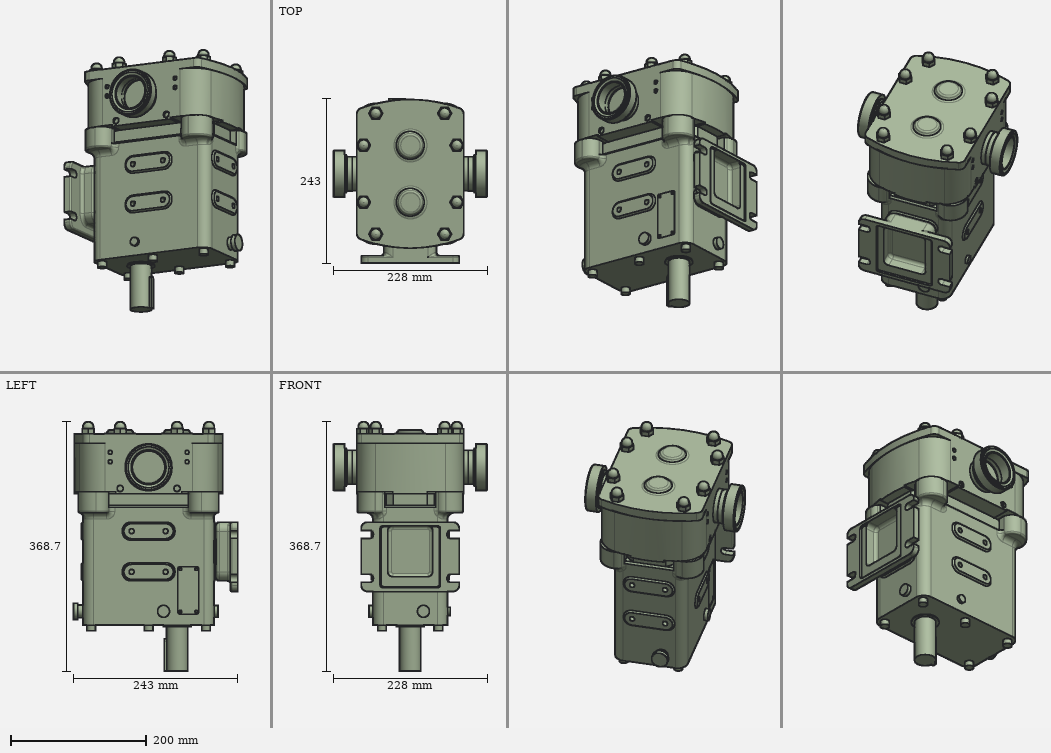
import cadquery as cq
import math


total_height = 368.7
shaft_length = 68.2
pump_top = total_height - shaft_length
shoulder_bottom = 173.5
shoulder_top = 176.5
head_bottom = 194.0
lug_top = 196.5
lug_bottom = 165.5
cover_bottom = 268.5
cover_top = 282.5

box_half_x = 55.3
box_half_y = 97.0
box_corner_radius = 15.5
shoulder_inset = shoulder_top - shoulder_bottom
neck_half_x = 35.5
neck_flat_half_x = 25.0
neck_corner_depth = 9.2
lug_half_x = 78.0
lug_half_y = 104.0
lug_inner_x = 37.5
lug_inner_y = 58.5
lug_outer_radius = 25.8
lug_side_radius = 19.0
lug_end_radius = 14.0
lug_bottom_round = 3.0
lug_root_radius = 9.0

pad_levels = (78.5, 138.5)
pad_half_length = 39.0
pad_radius = 13.45
pad_height = 2.5
pad_taper_angle = 45.0
pad_hole_half_pitch = 25.0
pad_hole_radius = 3.7
pad_hole_depth = 11.0

plug_level = 20.3
plug_radius = 9.0
plug_height = 6.0
small_plug_radius = 6.3
small_plug_height = 4.0
side_plug_y = -22.0
front_plug_x = 19.5
glass_stem_radius = 9.5
glass_stem_length = 7.5
glass_rim_radius = 12.0
glass_rim_length = 6.5
plate_width = 30.5
plate_height = 70.0
plate_center_y = -58.5
plate_center_z = 51.2
plate_thickness = 0.5
plate_corner_radius = 3.5
plate_screw_inset = 3.7
plate_screw_radius = 2.0
screw_x = 41.5
screw_y = 84.8
screw_radius = 6.5
screw_height = 8.5

shaft_y = -42.0
shaft_radius = 16.0
collar_radius = 20.5
collar_top_radius = 19.5
collar_height = 2.2
key_width = 7.0
key_rise = 3.5
key_top = -20.3

head_half_x = 79.3
head_half_y = 110.0
cover_arc_radius = 214.0
casing_arc_radius = 177.0
casing_corner_radius = 39.0
cover_corner_radius = 10.5
rim_half_x = 25.5
rim_half_y = 48.5
lobe_y = 42.0
dome_outer_radius = 24.5
dome_root_radius = 20.5
dome_shoulder_radius = 18.0
dome_flat_radius = 14.5
dome_root_height = 1.0
dome_shoulder_height = 4.0
dome_height = 6.0
nut_spots = ((51.0, 89.2), (69.0, lobe_y))
nut_flats = 17.7
nut_hex_height = 7.7
nut_cap_radius = 8.0
gauge_hole_y = 56.8
gauge_hole_levels = (241.0, 255.0)
gauge_hole_radius = 3.0
gauge_hole_depth = 3.7
drain_hole_level = 201.5
drain_hole_radius = 4.6

port_level = 233.0
port_half_span = 114.0
port_rim_length = 17.0
port_rim_radius = 34.5
port_rim_chamfer = 1.5
port_shoulder_length = 3.7
port_shoulder_radius = 28.5
port_neck_radius = 25.5
port_bore_radius = 24.0
port_joint_x = 86.0
port_seat_radius = 30.2
port_seat_inner_radius = 25.8
port_seat_depth = 2.0

foot_face_y = -132.0
foot_rear_y = -box_half_y - pad_height
flange_thickness = 11.0
flange_half_x = 72.5
flange_bottom = 49.5
flange_top = pad_levels[1] + pad_radius
flange_corner_radius = 9.5
flange_rear_round = 2.2
block_flare = 4.8
block_rear_round = 5.0
slot_levels = (69.0, 134.0)
slot_width = 11.5
slot_end_x = 54.2
recess_half_x = 44.5
recess_bottom = 55.0
recess_top = 146.7
recess_depth = 2.0
recess_corner_radius = 4.8
pocket_half_x = 33.0
pocket_bottom = 71.5
pocket_top = recess_top
pocket_corner_radius = 7.5
pocket_floor_thickness = 10.7
pocket_floor_radius = 5.0

middle_pad_level = sum(pad_levels) / 2

nearly_full = 0.99
touch = 0.005


def plane_on_side(normal, offset=0.0, level=0.0, standoff=0.0):
    """Upright work plane facing `normal`, its local Y along +Z, on the wall of the gearbox."""
    nx, ny = normal
    wall = (box_half_x if nx else box_half_y) + standoff
    origin = (nx * wall + abs(ny) * offset, ny * wall + abs(nx) * offset, level)
    return cq.Workplane(cq.Plane(origin=origin, xDir=(-ny, nx, 0), normal=(nx, ny, 0)))


def plane_facing_front(y, level):
    """Work plane facing -Y, with local X along +X and local Y along +Z."""
    return cq.Workplane(cq.Plane(origin=(0, y, level), xDir=(1, 0, 0), normal=(0, -1, 0)))


def gather(parts):
    """One Workplane holding the solids of all `parts`, to join or cut them together."""
    return cq.Workplane("XY").newObject([solid for part in parts for solid in part.vals()])


def to_quadrant(shape, sx, sy):
    """Mirror a shape from the +X +Y quadrant into the quadrant with signs `sx` and `sy`."""
    if sx < 0:
        shape = shape.mirror("YZ")
    if sy < 0:
        shape = shape.mirror("XZ")
    return shape


sides = ((1, 0), (-1, 0), (0, 1), (0, -1))
quadrants = [(sx, sy) for sx in (1, -1) for sy in (1, -1)]


def lug(sx, sy):
    """Lug under one corner of the pump head; each upright edge but the innermost is rounded."""
    roundings = (
        (lug_half_x, lug_half_y, lug_outer_radius),
        (lug_half_x, lug_inner_y, lug_side_radius),
        (lug_inner_x, lug_half_y, lug_end_radius),
    )
    block = (
        cq.Workplane("XY", origin=(lug_inner_x, lug_inner_y, lug_bottom))
        .box(lug_half_x - lug_inner_x, lug_half_y - lug_inner_y, lug_top - lug_bottom, centered=False)
    )
    for x, y, radius in roundings:
        block = block.edges(upright_edge_at(x, y)).fillet(radius)
    block = block.faces("<Z").edges().fillet(lug_bottom_round)
    return to_quadrant(block, sx, sy)


def upright_edge_at(x, y):
    return cq.selectors.BoxSelector((x - touch, y - touch, lug_bottom), (x + touch, y + touch, lug_top))


def gear_case():
    """Case up to the lug tops, with each lug blended into its walls."""
    case = (
        cq.Workplane("XY")
        .rect(2 * box_half_x, 2 * box_half_y)
        .extrude(lug_top)
        .edges("|Z").fillet(box_corner_radius)
    )
    case_walls = case.val().Shells()[0]
    lugs = [lug(sx, sy) for sx, sy in quadrants]
    case = case.union(gather(lugs))
    roots = [
        edge
        for edge in case.edges().vals()
        if is_lug_root(edge.positionAt(0.5), case_walls, [block.val() for block in lugs])
    ]
    return case.newObject(roots).fillet(lug_root_radius)


def is_lug_root(point, case_walls, lugs):
    """True where the point lies both on a case wall and on a lug, below the top face."""
    spot = cq.Vertex.makeVertex(point.x, point.y, point.z)
    on_lug = min(spot.distance(block) for block in lugs) < touch
    return on_lug and spot.distance(case_walls) < touch and point.z < lug_top - touch


def wall_relief(wall, half_width):
    """Cutter for one wall between two lugs: sloped shoulder, then the set-back neck above it."""
    reach = 2 * wall
    profile = [
        (wall - shoulder_inset, lug_top),
        (wall - shoulder_inset, shoulder_top),
        (wall, shoulder_bottom),
        (reach, shoulder_bottom),
        (reach, lug_top),
    ]
    return cq.Workplane("XZ").polyline(profile).close().extrude(half_width, both=True)


def neck_corner_relief():
    """Wedge that slants the neck beside a lug."""
    front = box_half_y - shoulder_inset
    corner = [
        (neck_flat_half_x, front),
        (neck_half_x, front - neck_corner_depth),
        (lug_inner_x, front - neck_corner_depth),
        (lug_inner_x, front),
    ]
    return (
        cq.Workplane("XY", origin=(0, 0, shoulder_top))
        .polyline(corner).close()
        .extrude(lug_top - shoulder_top)
    )


def neck_reliefs():
    """Everything removed from the top of the case between the lugs."""
    side = wall_relief(box_half_x, lug_inner_y)
    end = wall_relief(box_half_y, lug_inner_x).rotate((0, 0, 0), (0, 0, 1), 90)
    corner = neck_corner_relief()
    mirrored_corner = corner.mirror("YZ")
    cutters = [end, corner, mirrored_corner]
    cutters += [side, side.mirror("YZ")] + [cutter.mirror("XZ") for cutter in cutters]
    top_gap = lug_top - head_bottom
    top = cq.Workplane("XY", origin=(0, 0, head_bottom))
    cutters.append(top.rect(2 * lug_inner_x, 4 * box_half_y).extrude(top_gap))
    cutters.append(top.rect(4 * box_half_x, 2 * lug_inner_y).extrude(top_gap))
    return cutters


def side_pad(normal, level):
    pad = plane_on_side(normal, level=level).slot2D(2 * pad_half_length, 2 * pad_radius)
    return pad.extrude(pad_height, taper=pad_taper_angle)


def side_pad_holes(normal, level):
    spots = [(s * pad_hole_half_pitch, 0) for s in (1, -1)]
    return (
        plane_on_side(normal, level=level, standoff=pad_height)
        .pushPoints(spots)
        .circle(pad_hole_radius)
        .extrude(-pad_hole_depth)
    )


def side_disc(normal, offset, radius, height, standoff=0.0):
    return plane_on_side(normal, offset, plug_level, standoff).circle(radius).extrude(height)


def plugs():
    return [
        side_disc((-1, 0), side_plug_y, plug_radius, plug_height),
        side_disc((1, 0), side_plug_y, small_plug_radius, small_plug_height),
        side_disc((0, -1), front_plug_x, plug_radius, plug_height),
    ]


def sight_glass():
    stem = side_disc((0, 1), -front_plug_x, glass_stem_radius, glass_stem_length)
    rim = side_disc((0, 1), -front_plug_x, glass_rim_radius, glass_rim_length, glass_stem_length)
    return stem.union(rim)


def name_plate():
    plate = (
        plane_on_side((-1, 0), plate_center_y, plate_center_z)
        .rect(plate_width, plate_height)
        .extrude(plate_thickness)
        .edges("|X").fillet(plate_corner_radius)
    )
    return (
        plate.faces("<X").workplane()
        .rect(plate_width - 2 * plate_screw_inset, plate_height - 2 * plate_screw_inset, forConstruction=True)
        .vertices()
        .hole(2 * plate_screw_radius)
    )


def bottom_screws():
    spots = [(sx * screw_x, y) for sx in (1, -1) for y in (-screw_y, 0, screw_y)]
    return cq.Workplane("XY").pushPoints(spots).circle(screw_radius).extrude(-screw_height)


def drive_shaft():
    base = cq.Workplane("XY").center(0, shaft_y)
    shaft = base.circle(shaft_radius).extrude(-shaft_length)
    collar = (
        base.circle(collar_top_radius)
        .workplane(offset=-collar_height)
        .circle(collar_radius)
        .loft(ruled=True)
    )
    key_depth = shaft_radius + key_rise
    key = (
        cq.Workplane("XY")
        .box(key_width, key_depth, key_top + shaft_length, centered=(True, False, False))
        .edges("|Y and >Z").fillet(nearly_full * key_width / 2)
        .translate((0, shaft_y, -shaft_length))
    )
    return shaft.union(collar).union(key)


def gearbox():
    pad_spots = [(normal, level) for normal in sides for level in pad_levels]
    pads = [side_pad(normal, level) for normal, level in pad_spots]
    pad_holes = [side_pad_holes(normal, level) for normal, level in pad_spots]
    attachments = [*plugs(), sight_glass(), name_plate(), bottom_screws(), drive_shaft()]
    case = gear_case().cut(gather(neck_reliefs()))
    return case.union(gather(pads + attachments)).cut(gather(pad_holes))


def head_prism(bottom, top, arc_radius, corner_radius):
    """Prism with flat sides in X, shallow arcs in Y and rounded corners."""
    corner_y = head_half_y - arc_radius + math.sqrt(arc_radius**2 - head_half_x**2)
    return (
        cq.Workplane("XY", origin=(0, 0, bottom))
        .moveTo(head_half_x, -corner_y)
        .lineTo(head_half_x, corner_y)
        .threePointArc((0, head_half_y), (-head_half_x, corner_y))
        .lineTo(-head_half_x, -corner_y)
        .threePointArc((0, -head_half_y), (head_half_x, -corner_y))
        .close()
        .extrude(top - bottom)
        .edges("|Z").fillet(corner_radius)
    )


def lug_seats():
    """Shallow corner recesses that take the tops of the gearbox lugs."""
    seats = []
    for sx, sy in quadrants:
        seat = cq.Workplane("XY").box(head_half_x, head_half_y, lug_top - head_bottom, centered=False)
        seat = seat.translate((rim_half_x, rim_half_y, head_bottom))
        seats.append(to_quadrant(seat, sx, sy))
    return gather(seats)


def cover_dome(y):
    mid = math.sqrt(0.5)
    top_drop = dome_height - dome_shoulder_height
    top_run = dome_shoulder_radius - dome_flat_radius
    return (
        cq.Workplane("XZ")
        .lineTo(dome_outer_radius, 0)
        .lineTo(dome_root_radius, dome_root_height)
        .lineTo(dome_shoulder_radius, dome_shoulder_height)
        .threePointArc(
            (dome_flat_radius + top_run * mid, dome_shoulder_height + top_drop * mid),
            (dome_flat_radius, dome_height),
        )
        .lineTo(0, dome_height)
        .close()
        .revolve()
        .translate((0, y, cover_top))
    )


def cap_nut(x, y):
    base = cq.Workplane("XY", origin=(x, y, cover_top))
    hexagon = base.polygon(6, nut_flats / math.cos(math.pi / 6)).extrude(nut_hex_height)
    cap_height = pump_top - cover_top
    cap = base.circle(nut_cap_radius).extrude(cap_height)
    cap = cap.faces(">Z").edges().fillet(nearly_full * nut_cap_radius)
    return hexagon.union(cap)


def port_stub(sign):
    """Short closed stub on the side of the head that carries a fitting."""
    face = cq.Workplane("YZ", origin=(sign * head_half_x, 0, port_level))
    return face.circle(port_neck_radius).extrude(sign * (port_joint_x - head_half_x))


def head_side_holes(sign):
    face = cq.Workplane("YZ", origin=(sign * head_half_x, 0, 0))
    gauge_spots = [(s * gauge_hole_y, level) for s in (1, -1) for level in gauge_hole_levels]
    drain_spots = [(s * lobe_y, drain_hole_level) for s in (1, -1)]
    gauges = face.pushPoints(gauge_spots).circle(gauge_hole_radius).extrude(-sign * gauge_hole_depth)
    drains = face.pushPoints(drain_spots).circle(drain_hole_radius).extrude(-sign * gauge_hole_depth)
    return gather([gauges, drains])


def pump_head():
    casing = head_prism(head_bottom, cover_bottom, casing_arc_radius, casing_corner_radius)
    cover = head_prism(cover_bottom, cover_top, cover_arc_radius, cover_corner_radius)
    nuts = [cap_nut(sx * x, sy * y) for x, y in nut_spots for sx, sy in quadrants]
    domes = [cover_dome(sign * lobe_y) for sign in (1, -1)]
    stubs = [port_stub(sign) for sign in (1, -1)]
    holes = [head_side_holes(sign) for sign in (1, -1)]
    return casing.union(gather([cover, *nuts, *domes, *stubs])).cut(gather([lug_seats(), *holes]))


def foot_shell():
    """Flange and the block behind it, whose outline wraps the two pads, with a flared joint."""
    flange_rear_y = foot_face_y + flange_thickness
    flange = (
        plane_facing_front(flange_rear_y, (flange_top + flange_bottom) / 2)
        .rect(2 * flange_half_x, flange_top - flange_bottom)
        .extrude(flange_thickness)
        .edges("|Y").fillet(flange_corner_radius)
        .faces(">Y").edges("not >Z").fillet(flange_rear_round)
    )
    block = (
        plane_facing_front(foot_rear_y, middle_pad_level)
        .rect(2 * pad_half_length, pad_levels[1] - pad_levels[0] + 2 * pad_radius)
        .extrude(foot_rear_y - foot_face_y)
        .edges("|Y").fillet(pad_radius)
        .faces(">Y").edges().fillet(block_rear_round)
    )
    joint = cq.selectors.BoxSelector(
        (-flange_half_x, flange_rear_y - touch, flange_bottom + flange_corner_radius),
        (flange_half_x, flange_rear_y + touch, flange_top),
    )
    return flange.union(block).edges(joint).fillet(block_flare)


def flange_slots():
    """Open slots with rounded inner ends, cut in from both flange edges."""
    slots = []
    length = 2 * (flange_half_x - slot_end_x)
    for level in slot_levels:
        for sign in (1, -1):
            slot = (
                plane_facing_front(foot_face_y, level)
                .center(sign * flange_half_x, 0)
                .slot2D(length, slot_width)
                .extrude(-flange_thickness)
            )
            slots.append(slot)
    return gather(slots)


def face_recess():
    return (
        plane_facing_front(foot_face_y, (recess_top + recess_bottom) / 2)
        .rect(2 * recess_half_x, recess_top - recess_bottom)
        .extrude(-recess_depth)
        .edges("|Y").fillet(recess_corner_radius)
        .faces(">Y").chamfer(nearly_full * recess_depth)
    )


def pocket():
    """Blind pocket with its floor blended into the four flat walls."""
    floor_y = foot_rear_y - pocket_floor_thickness
    return (
        plane_facing_front(floor_y, (pocket_top + pocket_bottom) / 2)
        .rect(2 * pocket_half_x, pocket_top - pocket_bottom)
        .extrude(floor_y - foot_face_y)
        .edges("|Y").fillet(pocket_corner_radius)
        .faces(">Y").edges("|X or |Z").fillet(pocket_floor_radius)
    )


def foot():
    return foot_shell().cut(gather([flange_slots(), face_recess(), pocket()]))


def port_fitting(sign):
    """Tube fitting along X, turned from a stepped profile of (distance from centre, radius)."""
    rim_back = port_half_span - port_rim_length
    seat_back = port_half_span - port_seat_depth
    profile = [
        (port_joint_x, port_bore_radius),
        (port_joint_x, port_neck_radius),
        (rim_back - port_shoulder_length, port_neck_radius),
        (rim_back - port_shoulder_length / 2, port_shoulder_radius),
        (rim_back, port_shoulder_radius),
        (rim_back, port_rim_radius),
        (port_half_span - port_rim_chamfer, port_rim_radius),
        (port_half_span, port_rim_radius - port_rim_chamfer),
        (port_half_span, port_seat_radius),
        (seat_back, port_seat_inner_radius),
        (seat_back, port_bore_radius),
    ]
    points = [(sign * distance, radius) for distance, radius in profile]
    return (
        cq.Workplane("XZ", origin=(0, 0, port_level))
        .polyline(points)
        .close()
        .revolve(360, (0, 0, 0), (1, 0, 0))
    )


pump = gearbox().union(gather([pump_head(), foot()]))
fittings = [port_fitting(sign) for sign in (1, -1)]
result = cq.Compound.makeCompound([pump.val(), *[fitting.val() for fitting in fittings]])